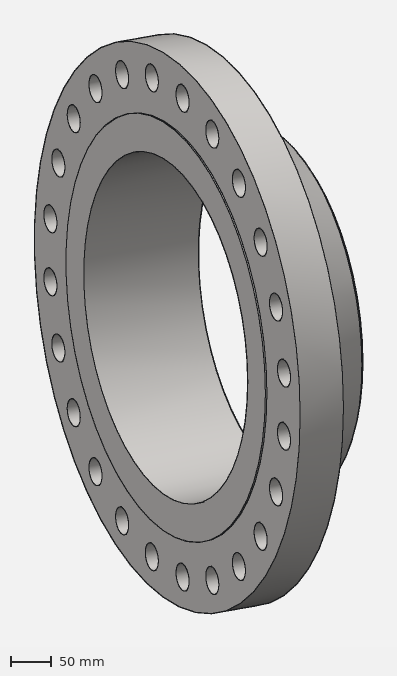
import cadquery as cq

flange_diameter = 711.0
bore_diameter = 438.0
raised_face_diameter = 533.5
hub_base_diameter = 533.5
hub_top_diameter = 459.5
hub_tip_diameter = 441.0

total_length = 158.5
raised_face_height = 2.0
flange_thickness = 60.0
bevel_length = 6.5

bolt_count = 24
bolt_hole_diameter = 35.0
bolt_circle_diameter = 630.0

flange_back = raised_face_height + flange_thickness
bevel_start = total_length - bevel_length


def make_body():
    """Revolve the half section (radius, axial position) around the Y axis."""
    section = [
        (bore_diameter / 2, 0),
        (raised_face_diameter / 2, 0),
        (raised_face_diameter / 2, raised_face_height),
        (flange_diameter / 2, raised_face_height),
        (flange_diameter / 2, flange_back),
        (hub_base_diameter / 2, flange_back),
        (hub_top_diameter / 2, bevel_start),
        (hub_tip_diameter / 2, total_length),
        (bore_diameter / 2, total_length),
    ]
    return cq.Workplane("XY").polyline(section).close().revolve(360, (0, 0, 0), (0, 1, 0))


def make_bolt_holes():
    """Ring of through-hole cylinders straddling the X and Z axes."""
    half_pitch = 360 / bolt_count / 2
    return (
        cq.Workplane("XZ")
        .polarArray(bolt_circle_diameter / 2, half_pitch, 360, bolt_count)
        .circle(bolt_hole_diameter / 2)
        .extrude(-total_length)
    )


result = make_body().cut(make_bolt_holes())